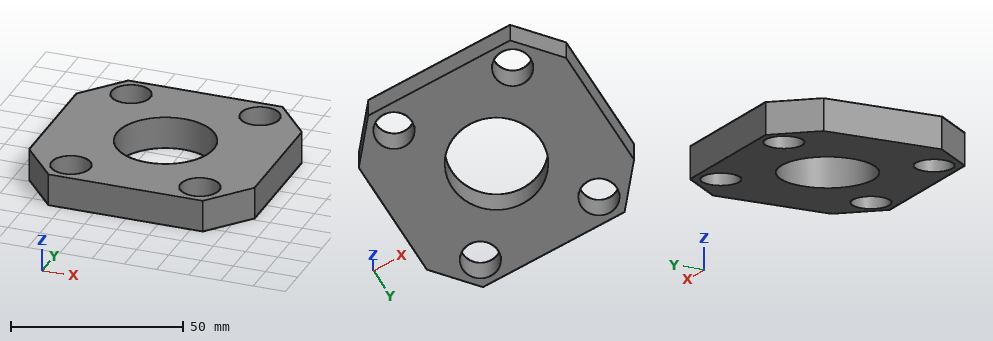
import cadquery as cq

length = 70.0
width = 65.0
thickness = 10.0

corner_cut_x = 11.05
corner_cut_y = 13.2

bore_diameter = 30.0
bolt_hole_diameter = 12.0
bolt_spacing_x = 40.05
bolt_spacing_y = 49.0


def octagonal_plate():
    """Rectangular plate with its four corners cut off, resting on Z = 0."""
    half_x = length / 2
    half_y = width / 2
    flat_x = half_x - corner_cut_x
    flat_y = half_y - corner_cut_y
    outline = [
        (half_x, -flat_y),
        (half_x, flat_y),
        (flat_x, half_y),
        (-flat_x, half_y),
        (-half_x, flat_y),
        (-half_x, -flat_y),
        (-flat_x, -half_y),
        (flat_x, -half_y),
    ]
    return cq.Workplane("XY").polyline(outline).close().extrude(thickness)


plate = octagonal_plate()

plate = plate.faces(">Z").workplane(origin=(0, 0, thickness)).hole(bore_diameter)

result = (
    plate.faces(">Z")
    .workplane(origin=(0, 0, thickness))
    .rarray(bolt_spacing_x, bolt_spacing_y, 2, 2)
    .hole(bolt_hole_diameter)
)